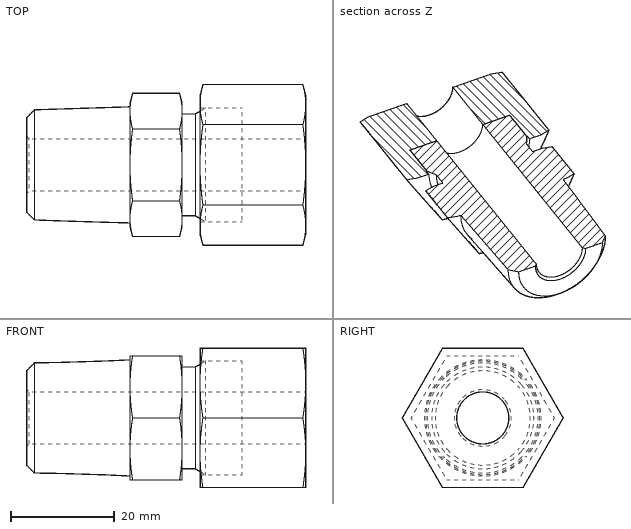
import cadquery as cq
import math


TOTAL_LENGTH = 54.0
STEM_LENGTH = 20.0
STUD_HEX_LENGTH = 10.1
NECK_LENGTH = 2.55
NUT_LENGTH = 20.45
SPIGOT_DEPTH = 8.1

STUD_HEX_END = STEM_LENGTH + STUD_HEX_LENGTH
NECK_END = STUD_HEX_END + NECK_LENGTH
NUT_START = TOTAL_LENGTH - NUT_LENGTH
SPIGOT_END = NUT_START + SPIGOT_DEPTH

STUD_HEX_FLATS = 24.05
NUT_FLATS = 27.0
HEX_CHAMFER_ANGLE = 15.0

STEM_RADIUS = 10.7
STEM_CHAMFER = 1.5
STEM_TAPER = 1 / 16
STEM_TIP_RADIUS = STEM_RADIUS - STEM_CHAMFER
STEM_BASE_RADIUS = STEM_RADIUS + (STEM_LENGTH - STEM_CHAMFER) * STEM_TAPER / 2

NECK_RADIUS = 9.9
SPIGOT_RADIUS = 11.0
FLARE_ANGLE = 30.0
FLARE_END = NECK_END + (SPIGOT_RADIUS - NECK_RADIUS) / math.tan(math.radians(FLARE_ANGLE))
BORE_RADIUS = 5.0
BORE_CHAMFER = 0.5


def revolve_about_x(points):
    """Revolve a closed (x, radius) outline about the X axis."""
    return cq.Workplane("XY").polyline(points).close().revolve(360, (0, 0, 0), (1, 0, 0))


def cylinder_along_x(start, end, radius):
    return cq.Workplane("YZ", origin=(start, 0, 0)).circle(radius).extrude(end - start)


def chamfered_hexagon(start, end, across_flats):
    """Hexagonal bar along X, flats facing +Z and -Z, corners turned off at both ends."""
    flat_radius = across_flats / 2
    corner_radius = flat_radius / math.cos(math.pi / 6)
    chamfer_length = (corner_radius - flat_radius) * math.tan(math.radians(HEX_CHAMFER_ANGLE))
    bar = cq.Workplane("YZ", origin=(start, 0, 0)).polygon(6, 2 * corner_radius).extrude(end - start)
    turned_envelope = revolve_about_x([
        (start, 0),
        (start, flat_radius),
        (start + chamfer_length, corner_radius),
        (end - chamfer_length, corner_radius),
        (end, flat_radius),
        (end, 0),
    ])
    return bar.intersect(turned_envelope)


def make_stud():
    stem = revolve_about_x([
        (0, 0),
        (0, STEM_TIP_RADIUS),
        (STEM_CHAMFER, STEM_RADIUS),
        (STEM_LENGTH, STEM_BASE_RADIUS),
        (STEM_LENGTH, 0),
    ])
    hexagon = chamfered_hexagon(STEM_LENGTH, STUD_HEX_END, STUD_HEX_FLATS)
    neck_and_spigot = revolve_about_x([
        (STUD_HEX_END, 0),
        (STUD_HEX_END, NECK_RADIUS),
        (NECK_END, NECK_RADIUS),
        (FLARE_END, SPIGOT_RADIUS),
        (SPIGOT_END, SPIGOT_RADIUS),
        (SPIGOT_END, 0),
    ])
    bore = revolve_about_x([
        (0, 0),
        (0, BORE_RADIUS + BORE_CHAMFER),
        (BORE_CHAMFER, BORE_RADIUS),
        (SPIGOT_END, BORE_RADIUS),
        (SPIGOT_END, 0),
    ])
    return stem.union(hexagon).union(neck_and_spigot).cut(bore)


def make_nut():
    hexagon = chamfered_hexagon(NUT_START, TOTAL_LENGTH, NUT_FLATS)
    spigot_recess = cylinder_along_x(NUT_START, SPIGOT_END, SPIGOT_RADIUS)
    through_bore = cylinder_along_x(NUT_START, TOTAL_LENGTH, BORE_RADIUS)
    return hexagon.cut(spigot_recess).cut(through_bore)


stud = make_stud()
nut = make_nut()

result = cq.Compound.makeCompound([stud.val(), nut.val()])